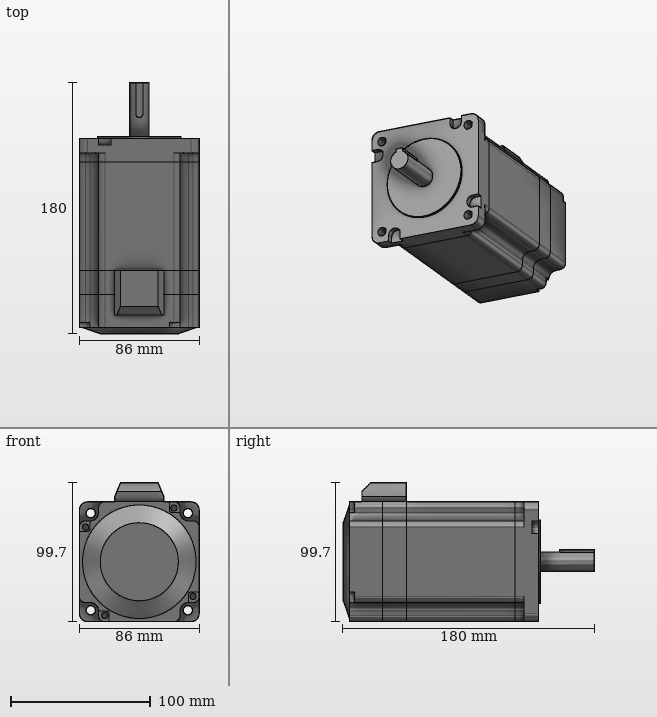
import cadquery as cq
import math


FRAME = 86.0
HALF = FRAME / 2
MOUNT_PLATE_DEPTH = 10.3
FLANGE_DEPTH = 17.0
STATOR_DEPTH = 94.7
SPACER_DEPTH = 111.7
COVER_DEPTH = 135.6
MOTOR_DEPTH = 140.0

FLANGE_CORNER_RADIUS = 6.0
MOUNT_HOLE_DIAMETER = 6.5
MOUNT_HOLE_OFFSET = 69.6 / 2
PILOT_DIAMETER = 60.0
PILOT_HEIGHT = 1.5
PILOT_CHAMFER = 0.3

NOTCH_SIZE = 13.75
NOTCH_INNER_RADIUS = 6.0
NOTCH_LIP_RADIUS = 4.5

SCREW_INSET = 4.5
SCREW_OFFSET = HALF - NOTCH_SIZE - NOTCH_LIP_RADIUS
FLANGE_SLOT_DIAMETER = 9.2
FLANGE_SLOT_DEPTH = 4.6
COVER_POCKET_SIZE = 7.7
COVER_POCKET_RADIUS = 2.0
COVER_POCKET_DEPTH = 3.8
SCREW_HOLE_DIAMETER = 4.5

CONE_BASE_RADIUS = 40.7
CONE_TIP_RADIUS = 28.0

CONNECTOR_WIDTH = 35.3
CONNECTOR_TOP_WIDTH = 27.0
CONNECTOR_HEIGHT = 13.7
CONNECTOR_WALL_HEIGHT = 3.7
CONNECTOR_LENGTH = 32.0
CONNECTOR_CHAMFER = 6.4

SHAFT_TIP = 40.0
SHAFT_DIAMETER = 14.0
KEY_WIDTH = 5.0
KEY_LENGTH = 25.0
KEY_TOP = 8.7

SIDE_ANGLES = (0, 90, 180, 270)


def section_plane(depth):
    """Cross-section plane at a depth behind the mounting face; extrudes go toward -Y."""
    return cq.Workplane("XZ", origin=(0, -depth, 0))


def on_each_side(feature):
    """Copies of a feature turned about the motor axis, one for each side of the frame."""
    return [feature.rotate((0, 0, 0), (0, 1, 0), angle) for angle in SIDE_ANGLES]


def corner_notch(start, end):
    """Cutter for the upper right corner: rounded inner corner and rounded lips."""
    diagonal = math.sqrt(0.5)
    wall = HALF - NOTCH_SIZE
    lip_end = wall - NOTCH_LIP_RADIUS
    lip_start = HALF - NOTCH_LIP_RADIUS
    lip_mid_low = lip_end + NOTCH_LIP_RADIUS * diagonal
    lip_mid_high = lip_start + NOTCH_LIP_RADIUS * diagonal
    inner_end = wall + NOTCH_INNER_RADIUS
    inner_mid = inner_end - NOTCH_INNER_RADIUS * diagonal
    return (
        section_plane(start)
        .moveTo(lip_end, HALF)
        .threePointArc((lip_mid_low, lip_mid_high), (wall, lip_start))
        .lineTo(wall, inner_end)
        .threePointArc((inner_mid, inner_mid), (inner_end, wall))
        .lineTo(lip_start, wall)
        .threePointArc((lip_mid_high, lip_mid_low), (HALF, lip_end))
        .lineTo(HALF, HALF)
        .close()
        .extrude(end - start)
    )


def notched_block(start, end):
    """Frame section between two depths with all four corners notched."""
    block = section_plane(start).rect(FRAME, FRAME).extrude(end - start)
    for notch in on_each_side(corner_notch(start, end)):
        block = block.cut(notch)
    return block


def make_flange():
    plate = (
        section_plane(0)
        .rect(FRAME, FRAME)
        .extrude(MOUNT_PLATE_DEPTH)
        .edges("|Y")
        .fillet(FLANGE_CORNER_RADIUS)
    )
    pilot = (
        section_plane(-PILOT_HEIGHT)
        .circle(PILOT_DIAMETER / 2)
        .extrude(PILOT_HEIGHT)
        .faces(">Y")
        .chamfer(PILOT_CHAMFER)
    )
    mount_holes = (
        section_plane(0)
        .rect(2 * MOUNT_HOLE_OFFSET, 2 * MOUNT_HOLE_OFFSET, forConstruction=True)
        .vertices()
        .circle(MOUNT_HOLE_DIAMETER / 2)
        .extrude(MOUNT_PLATE_DEPTH)
    )
    body = plate.cut(mount_holes).union(notched_block(MOUNT_PLATE_DEPTH, FLANGE_DEPTH)).union(pilot)

    slot_center = HALF - SCREW_INSET
    slot = (
        section_plane(0)
        .center(-SCREW_OFFSET, slot_center)
        .circle(FLANGE_SLOT_DIAMETER / 2)
        .extrude(FLANGE_SLOT_DEPTH)
    )
    slot_mouth = (
        section_plane(0)
        .center(-SCREW_OFFSET, slot_center + SCREW_INSET / 2)
        .rect(FLANGE_SLOT_DIAMETER, SCREW_INSET)
        .extrude(FLANGE_SLOT_DEPTH)
    )
    for cutter in on_each_side(slot.union(slot_mouth)):
        body = body.cut(cutter)
    return body


def make_rear_cover():
    cone = (
        cq.Workplane("XY")
        .moveTo(0, -COVER_DEPTH)
        .lineTo(CONE_BASE_RADIUS, -COVER_DEPTH)
        .lineTo(CONE_TIP_RADIUS, -MOTOR_DEPTH)
        .lineTo(0, -MOTOR_DEPTH)
        .close()
        .revolve(360, (0, 0, 0), (0, 1, 0))
    )

    pocket_start = COVER_DEPTH - COVER_POCKET_DEPTH
    notch_wall = HALF - NOTCH_SIZE
    pocket = (
        section_plane(pocket_start)
        .center(notch_wall - COVER_POCKET_SIZE / 2, HALF - COVER_POCKET_SIZE / 2)
        .rect(COVER_POCKET_SIZE, COVER_POCKET_SIZE)
        .extrude(COVER_POCKET_DEPTH)
        .edges("|Y and <X and <Z")
        .fillet(COVER_POCKET_RADIUS)
    )
    hole = (
        section_plane(SPACER_DEPTH)
        .center(SCREW_OFFSET, HALF - SCREW_INSET)
        .circle(SCREW_HOLE_DIAMETER / 2)
        .extrude(pocket_start - SPACER_DEPTH)
    )
    body = notched_block(SPACER_DEPTH, COVER_DEPTH)
    for cutter in on_each_side(pocket.union(hole)):
        body = body.cut(cutter)
    return body.union(cone)


def make_connector():
    wall_top = HALF + CONNECTOR_WALL_HEIGHT
    top = HALF + CONNECTOR_HEIGHT
    return (
        section_plane(STATOR_DEPTH)
        .polyline([
            (-CONNECTOR_WIDTH / 2, HALF),
            (CONNECTOR_WIDTH / 2, HALF),
            (CONNECTOR_WIDTH / 2, wall_top),
            (CONNECTOR_TOP_WIDTH / 2, top),
            (-CONNECTOR_TOP_WIDTH / 2, top),
            (-CONNECTOR_WIDTH / 2, wall_top),
        ])
        .close()
        .extrude(CONNECTOR_LENGTH)
        .edges(">Z and <Y")
        .chamfer(CONNECTOR_CHAMFER)
    )


def make_shaft():
    """Plain shaft with a raised key that is rounded at its inner end."""
    rod = section_plane(-SHAFT_TIP).circle(SHAFT_DIAMETER / 2).extrude(SHAFT_TIP - PILOT_HEIGHT)
    round_end = (
        cq.Workplane("XY")
        .center(0, SHAFT_TIP - KEY_LENGTH + KEY_WIDTH / 2)
        .circle(KEY_WIDTH / 2)
        .extrude(KEY_TOP)
    )
    straight_length = KEY_LENGTH - KEY_WIDTH / 2
    key = (
        cq.Workplane("XY")
        .center(0, SHAFT_TIP - straight_length / 2)
        .rect(KEY_WIDTH, straight_length)
        .extrude(KEY_TOP)
    )
    return rod.union(key.union(round_end))


flange = make_flange()
stator = notched_block(FLANGE_DEPTH, STATOR_DEPTH)
spacer = notched_block(STATOR_DEPTH, SPACER_DEPTH)
rear_cover = make_rear_cover()
connector = make_connector()
shaft = make_shaft()

result = cq.Compound.makeCompound([
    flange.val(),
    stator.val(),
    spacer.val(),
    rear_cover.val(),
    connector.val(),
    shaft.val(),
])